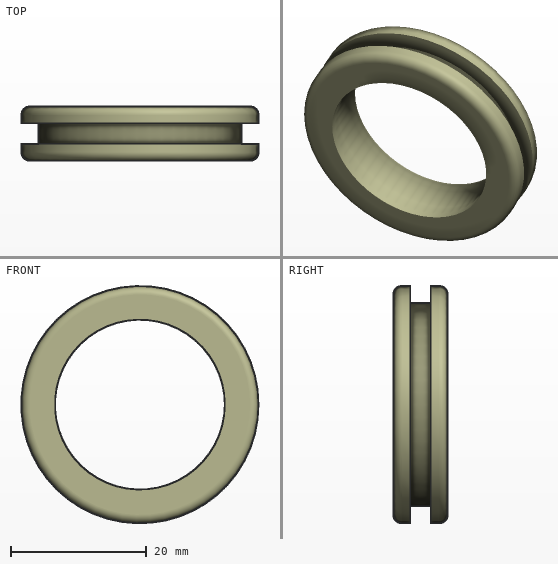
import cadquery as cq

outer_diameter = 35.0
bore_diameter = 25.0
groove_diameter = 30.0
width = 8.0
groove_width = 3.0
flange_width = (width - groove_width) / 2
rim_radius = flange_width / 2


def disc(diameter, thickness):
    """Solid disc centred on the origin, with its axis along Y."""
    return cq.Workplane("XZ").cylinder(thickness, diameter / 2)


body = disc(outer_diameter, width).faces("<Y or >Y").edges().fillet(rim_radius)

groove = disc(outer_diameter, groove_width).cut(disc(groove_diameter, groove_width))

bore = disc(bore_diameter, width)

result = body.cut(groove).cut(bore)